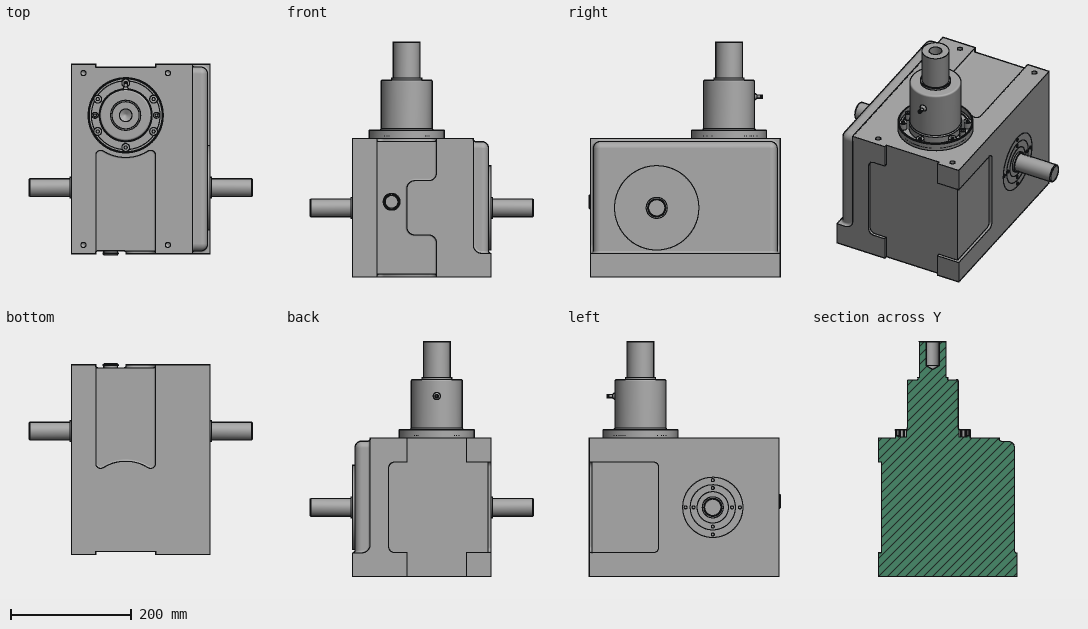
import cadquery as cq
import math


BODY_HALF = 115.0
FRONT_Y = -110.0
REAR_Y = 205.0
COLUMN_X = -25.0
COLUMN_Y = 120.0
RELIEF = 5.0
RELIEF_FILLET = 3.0
OVERRUN = 10.0
EDGE_REACH = 1.0

RECESS_HALF = 49.5
RECESS_LEFT = COLUMN_X - RECESS_HALF
RECESS_RIGHT = COLUMN_X + RECESS_HALF
TAB_LEFT = -24.5
TAB_HALF_HEIGHT = 45.0
TAB_RADIUS = 13.0
POCKET_ARC_RADIUS = 70.0
POCKET_CORNER_RADIUS = 8.0

SIDE_POCKET_DEPTH = 5.0
SIDE_POCKET_HALF = 75.0
SIDE_POCKET_Y = 90.0
SIDE_POCKET_RADIUS = 8.0
WINDOW_RIGHT = 55.0
WINDOW_RADIUS = 10.0

COVER_X = 85.5
COVER_FACE_X = 111.0
COVER_LEDGE_Z = -75.5
COVER_LEDGE_RADIUS = 14.0
COVER_EDGE_RADIUS = COVER_FACE_X - COVER_X - COVER_LEDGE_RADIUS
COVER_BASE_FILLET = 3.8
COVER_DISC_DIAMETER = 140.0

SHAFT_DIAMETER = 30.0
SHAFT_HALF_LENGTH = 185.0
SHAFT_CHAMFER = 1.5
SHAFT_COLLAR_DIAMETER = 35.0
SHAFT_COLLAR_LENGTH = 2.5

CAP_DIAMETERS = (100.0, 75.0, 52.0)
CAP_STEP = 0.2
CAP_SCREW_COUNT = 4
CAP_SCREW_DIAMETER = 5.0
CAP_SCREW_DEPTH = 3.0
CAP_SCREW_RADII = (45.0, 32.0)

FLANGE_DIAMETER = 125.0
FLANGE_HEIGHT = 14.0
FLANGE_CHAMFER = 1.0
TROUGH_INNER_RADIUS = 44.0
TROUGH_OUTER_RADIUS = 60.5
TROUGH_FLOOR_RADIUS = 57.0
TROUGH_LEDGE_HEIGHT = 4.0
TROUGH_FLOOR_HEIGHT = 2.0
BARREL_DIAMETER = 85.0
BARREL_HEIGHT = 97.0
BARREL_TOP_FILLET = 3.0
BARREL_FLARE_HEIGHT = 2.5
OUTPUT_COLLAR_DIAMETER = 50.0
OUTPUT_COLLAR_HEIGHT = 3.5
OUTPUT_SHAFT_DIAMETER = 45.0
OUTPUT_SHAFT_HEIGHT = 160.0
OUTPUT_BORE_DIAMETER = 21.0
OUTPUT_BORE_DEPTH = 40.0

SCREW_COUNT = 6
SCREW_CIRCLE_RADIUS = 53.5
SCREW_HEAD_DIAMETER = 13.0
SCREW_SOCKET_FLATS = 5.0
SCREW_SOCKET_DEPTH = 4.0
DOWEL_COUNT = 2
DOWEL_CIRCLE_RADIUS = 51.0
DOWEL_DIAMETER = 10.0
DOWEL_HOLE_DIAMETER = 5.0

NIPPLE_HEIGHT = 69.5
NIPPLE_LENGTH = 13.0
NIPPLE_BASE_RADIUS = 6.0
NIPPLE_CONE_LENGTH = 4.0
NIPPLE_STEM_RADIUS = 2.75
NIPPLE_NECK_RADIUS = 1.8
NIPPLE_NECK_LENGTH = 1.5
NIPPLE_TIP_LENGTH = 1.5

PLUG_X = -50.0
PLUG_Z = 10.0
PLUG_SEAT_DIAMETER = 28.0
PLUG_SEAT_DEPTH = 0.5
PLUG_NECK_DIAMETER = 23.0
PLUG_NECK_LENGTH = 3.5
PLUG_HEAD_DIAMETER = 26.0
PLUG_HEAD_LENGTH = 3.5
PLUG_CHAMFER = 2.5

MOUNT_DIAMETER = 8.5
MOUNT_DEPTH = 20.0
MOUNT_HALF_PITCH_X = 70.0
MOUNT_EDGE_Y = 15.0
DRILL_POINT_ANGLE = 118.0


def box(x0, x1, y0, y1, z0, z1):
    """Box between opposite corners."""
    return cq.Workplane("XY").box(x1 - x0, y1 - y0, z1 - z0, centered=False).translate((x0, y0, z0))


def cylinder_x(diameter, x0, x1):
    """Cylinder around the input shaft axis."""
    return cq.Workplane("YZ").workplane(offset=x0).circle(diameter / 2).extrude(x1 - x0)


def drilled_hole(diameter, depth):
    """Blind hole cutter with a drill point; the mouth is at the origin, facing +Z."""
    radius = diameter / 2
    tip = radius / math.tan(math.radians(DRILL_POINT_ANGLE / 2))
    profile = [(0, 0), (radius, 0), (radius, -depth), (0, -depth - tip)]
    return cq.Workplane("XZ").polyline(profile).close().revolve(360, (0, 0, 0), (0, 1, 0))


def make_block():
    """Housing with the +X side stepped in to an inset cover above a ledge."""
    block = (
        box(-BODY_HALF, BODY_HALF, FRONT_Y, REAR_Y, -BODY_HALF, BODY_HALF)
        .cut(
            box(COVER_X, BODY_HALF + OVERRUN, FRONT_Y - OVERRUN, REAR_Y + OVERRUN,
                COVER_LEDGE_Z, BODY_HALF + OVERRUN)
            .edges("|Y and <X and <Z").fillet(COVER_LEDGE_RADIUS)
        )
    )
    cover = (
        box(COVER_X - OVERRUN, COVER_FACE_X, FRONT_Y + RELIEF, REAR_Y - RELIEF,
            COVER_LEDGE_Z - OVERRUN, BODY_HALF - RELIEF)
        .edges("(>X or >Z) and (not <X) and (not <Z)").fillet(COVER_EDGE_RADIUS)
    )
    block = block.union(cover)
    wall_seam = cq.selectors.BoxSelector(
        (COVER_X - EDGE_REACH, FRONT_Y + RELIEF - EDGE_REACH, COVER_LEDGE_Z),
        (COVER_X + EDGE_REACH, REAR_Y - RELIEF + EDGE_REACH, BODY_HALF),
    )
    return block.edges(wall_seam).fillet(COVER_BASE_FILLET)


def make_front_recess():
    """Front cutter: a full-height band that steps around a tab on its right side."""
    top = BODY_HALF + OVERRUN
    outline = [
        (RECESS_LEFT, -top), (RECESS_RIGHT, -top),
        (RECESS_RIGHT, -TAB_HALF_HEIGHT), (TAB_LEFT, -TAB_HALF_HEIGHT),
        (TAB_LEFT, TAB_HALF_HEIGHT), (RECESS_RIGHT, TAB_HALF_HEIGHT),
        (RECESS_RIGHT, top), (RECESS_LEFT, top),
    ]
    tab_corners = cq.selectors.BoxSelector(
        (TAB_LEFT - EDGE_REACH, FRONT_Y - OVERRUN, -TAB_HALF_HEIGHT - EDGE_REACH),
        (RECESS_RIGHT + EDGE_REACH, FRONT_Y + OVERRUN, TAB_HALF_HEIGHT + EDGE_REACH),
    )
    return (
        cq.Workplane("XZ", origin=(0, FRONT_Y + RELIEF, 0))
        .polyline(outline).close().extrude(RELIEF + OVERRUN)
        .edges("|Y").edges(tab_corners).fillet(TAB_RADIUS)
        .faces(">Y").edges().fillet(RELIEF_FILLET)
    )


def make_top_pocket():
    """Top cutter: open at the front, ended by an arc concentric with the column."""
    corner_y = COLUMN_Y - math.sqrt(POCKET_ARC_RADIUS ** 2 - RECESS_HALF ** 2)
    return (
        cq.Workplane("XY", origin=(0, 0, BODY_HALF - RELIEF))
        .moveTo(RECESS_LEFT, FRONT_Y - OVERRUN)
        .lineTo(RECESS_RIGHT, FRONT_Y - OVERRUN)
        .lineTo(RECESS_RIGHT, corner_y)
        .threePointArc((COLUMN_X, COLUMN_Y - POCKET_ARC_RADIUS), (RECESS_LEFT, corner_y))
        .close().extrude(RELIEF + OVERRUN)
        .edges("|Z and (not <Y)").fillet(POCKET_CORNER_RADIUS)
        .faces("<Z").edges().fillet(RELIEF_FILLET)
    )


def cut_rear_and_side(block):
    """Rear band and window, and the -X pocket that opens into the window."""
    rear_floor = REAR_Y - RELIEF
    rear_end = REAR_Y + OVERRUN
    band = box(RECESS_LEFT, RECESS_RIGHT, rear_floor, rear_end, -BODY_HALF, BODY_HALF)
    window = (
        box(-BODY_HALF, WINDOW_RIGHT, rear_floor, rear_end, -SIDE_POCKET_HALF, SIDE_POCKET_HALF)
        .edges("|Y and >X").fillet(WINDOW_RADIUS)
    )
    pocket = (
        box(-BODY_HALF - OVERRUN, -BODY_HALF + SIDE_POCKET_DEPTH, SIDE_POCKET_Y, rear_end,
            -SIDE_POCKET_HALF, SIDE_POCKET_HALF)
        .edges("|X and <Y").fillet(SIDE_POCKET_RADIUS)
    )
    return block.cut(band).cut(window).cut(pocket)


def cut_bearing_cap(block):
    """Concentric cap rings and two circles of screw holes on the -X face."""
    for level, diameter in enumerate(CAP_DIAMETERS, start=1):
        block = block.cut(cylinder_x(diameter, -BODY_HALF, -BODY_HALF + level * CAP_STEP))
    for radius in CAP_SCREW_RADII:
        holes = (
            cq.Workplane("YZ", origin=(-BODY_HALF, 0, 0))
            .polarArray(radius, 0, 360, CAP_SCREW_COUNT)
            .circle(CAP_SCREW_DIAMETER / 2).extrude(CAP_SCREW_DEPTH)
        )
        block = block.cut(holes)
    return block


def cut_mounting_holes(block):
    """Four blind holes near the corners of the top face."""
    for x in (COLUMN_X - MOUNT_HALF_PITCH_X, COLUMN_X + MOUNT_HALF_PITCH_X):
        for y in (FRONT_Y + MOUNT_EDGE_Y, REAR_Y - MOUNT_EDGE_Y):
            block = block.cut(drilled_hole(MOUNT_DIAMETER, MOUNT_DEPTH).translate((x, y, BODY_HALF)))
    return block


def make_input_shaft():
    """Double-ended shaft with a collar at each side and the disc on the cover."""
    shaft = cylinder_x(SHAFT_DIAMETER, -SHAFT_HALF_LENGTH, SHAFT_HALF_LENGTH)
    shaft = shaft.faces("<X or >X").chamfer(SHAFT_CHAMFER)
    collar_end = BODY_HALF + SHAFT_COLLAR_LENGTH
    collar = cylinder_x(SHAFT_COLLAR_DIAMETER, -collar_end, collar_end)
    disc = cylinder_x(COVER_DISC_DIAMETER, COVER_FACE_X - OVERRUN, BODY_HALF)
    return shaft.union(collar).union(disc)


def make_nipple():
    """Grease nipple along +Y, rooted inside the barrel wall."""
    root = BARREL_DIAMETER / 2
    end = root + NIPPLE_LENGTH
    neck_end = end - NIPPLE_TIP_LENGTH
    neck_start = neck_end - NIPPLE_NECK_LENGTH
    profile = [
        (0, root - OVERRUN), (NIPPLE_BASE_RADIUS, root - OVERRUN), (NIPPLE_BASE_RADIUS, root),
        (NIPPLE_STEM_RADIUS, root + NIPPLE_CONE_LENGTH), (NIPPLE_STEM_RADIUS, neck_start),
        (NIPPLE_NECK_RADIUS, neck_start), (NIPPLE_NECK_RADIUS, neck_end),
        (NIPPLE_STEM_RADIUS, neck_end), (NIPPLE_STEM_RADIUS, end), (0, end),
    ]
    nipple = cq.Workplane("XY").polyline(profile).close().revolve(360, (0, 0, 0), (0, 1, 0))
    return nipple.translate((0, 0, NIPPLE_HEIGHT))


def make_column():
    """Output column: troughed flange, barrel, collar and bored shaft, based at z = 0."""
    rim = FLANGE_DIAMETER / 2
    barrel = BARREL_DIAMETER / 2
    collar_top = BARREL_HEIGHT + OUTPUT_COLLAR_HEIGHT
    fillet_offset = BARREL_TOP_FILLET * (1 - math.sqrt(0.5))
    column = (
        cq.Workplane("XZ")
        .lineTo(rim, 0)
        .lineTo(rim, FLANGE_HEIGHT - FLANGE_CHAMFER)
        .lineTo(rim - FLANGE_CHAMFER, FLANGE_HEIGHT)
        .lineTo(TROUGH_OUTER_RADIUS, FLANGE_HEIGHT)
        .lineTo(TROUGH_OUTER_RADIUS, TROUGH_LEDGE_HEIGHT)
        .lineTo(TROUGH_FLOOR_RADIUS, TROUGH_LEDGE_HEIGHT)
        .lineTo(TROUGH_FLOOR_RADIUS, TROUGH_FLOOR_HEIGHT)
        .lineTo(TROUGH_INNER_RADIUS, TROUGH_FLOOR_HEIGHT)
        .lineTo(TROUGH_INNER_RADIUS, FLANGE_HEIGHT)
        .lineTo(barrel, FLANGE_HEIGHT + BARREL_FLARE_HEIGHT)
        .lineTo(barrel, BARREL_HEIGHT - BARREL_TOP_FILLET)
        .threePointArc((barrel - fillet_offset, BARREL_HEIGHT - fillet_offset),
                       (barrel - BARREL_TOP_FILLET, BARREL_HEIGHT))
        .lineTo(OUTPUT_COLLAR_DIAMETER / 2, BARREL_HEIGHT)
        .lineTo(OUTPUT_COLLAR_DIAMETER / 2, collar_top)
        .lineTo(OUTPUT_SHAFT_DIAMETER / 2, collar_top)
        .lineTo(OUTPUT_SHAFT_DIAMETER / 2, OUTPUT_SHAFT_HEIGHT)
        .lineTo(0, OUTPUT_SHAFT_HEIGHT)
        .close().revolve(360, (0, 0, 0), (0, 1, 0))
    )
    bore = drilled_hole(OUTPUT_BORE_DIAMETER, OUTPUT_BORE_DEPTH).translate((0, 0, OUTPUT_SHAFT_HEIGHT))
    return column.cut(bore).union(make_nipple())


def add_flange_fasteners(column):
    """Six socket screws and two bored dowels standing in the flange trough."""
    screws = (
        cq.Workplane("XY")
        .polarArray(SCREW_CIRCLE_RADIUS, 90, 360, SCREW_COUNT)
        .circle(SCREW_HEAD_DIAMETER / 2).extrude(FLANGE_HEIGHT)
    )
    sockets = (
        cq.Workplane("XY", origin=(0, 0, FLANGE_HEIGHT - SCREW_SOCKET_DEPTH))
        .polarArray(SCREW_CIRCLE_RADIUS, 90, 360, SCREW_COUNT)
        .polygon(6, SCREW_SOCKET_FLATS, circumscribed=True).extrude(SCREW_SOCKET_DEPTH)
    )
    dowels = (
        cq.Workplane("XY")
        .polarArray(DOWEL_CIRCLE_RADIUS, 0, 360, DOWEL_COUNT)
        .circle(DOWEL_DIAMETER / 2).circle(DOWEL_HOLE_DIAMETER / 2).extrude(FLANGE_HEIGHT)
    )
    return column.union(screws).cut(sockets).union(dowels)


def fit_oil_plug(block):
    """Round oil plug standing in a shallow seat on the front recess."""
    seat_y = FRONT_Y + RELIEF + PLUG_SEAT_DEPTH
    neck_length = PLUG_SEAT_DEPTH + PLUG_NECK_LENGTH
    plane = cq.Workplane("XZ", origin=(PLUG_X, seat_y, PLUG_Z))
    seat = plane.circle(PLUG_SEAT_DIAMETER / 2).extrude(PLUG_SEAT_DEPTH)
    neck = plane.circle(PLUG_NECK_DIAMETER / 2).extrude(neck_length)
    head = (
        plane.workplane(offset=neck_length)
        .circle(PLUG_HEAD_DIAMETER / 2).extrude(PLUG_HEAD_LENGTH)
        .faces("<Y").chamfer(PLUG_CHAMFER)
    )
    return block.cut(seat).union(neck).union(head)


housing = make_block()
housing = housing.cut(make_front_recess())
top_pocket = make_top_pocket()
housing = housing.cut(top_pocket).cut(top_pocket.mirror("XY"))
housing = cut_rear_and_side(housing)
housing = cut_bearing_cap(housing)
housing = cut_mounting_holes(housing)
housing = fit_oil_plug(housing)

column = add_flange_fasteners(make_column()).translate((COLUMN_X, COLUMN_Y, BODY_HALF))
result = housing.union(make_input_shaft()).union(column)